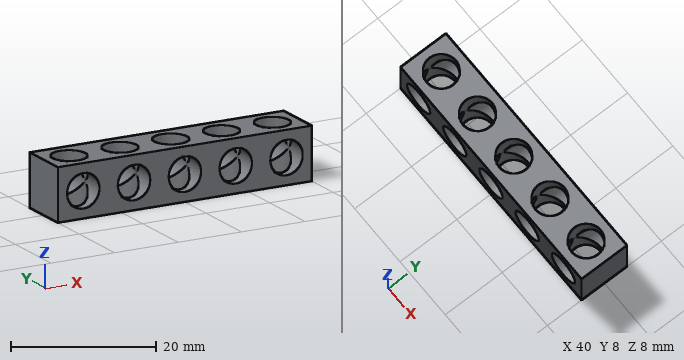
import cadquery as cq

hole_count = 5
pitch = 8.0
hole_diameter = 5.1

beam_length = hole_count * pitch
beam_side = pitch


def make_beam():
    """Plain square bar centred on the origin, running along X."""
    return cq.Workplane("XY").box(beam_length, beam_side, beam_side)


def make_hole_row(plane):
    """Row of cylinders along X, crossing the whole beam normal to the plane."""
    return (
        cq.Workplane(plane)
        .rarray(pitch, pitch, hole_count, 1)
        .circle(hole_diameter / 2)
        .extrude(beam_side, both=True)
    )


result = make_beam().cut(make_hole_row("XY")).cut(make_hole_row("XZ"))